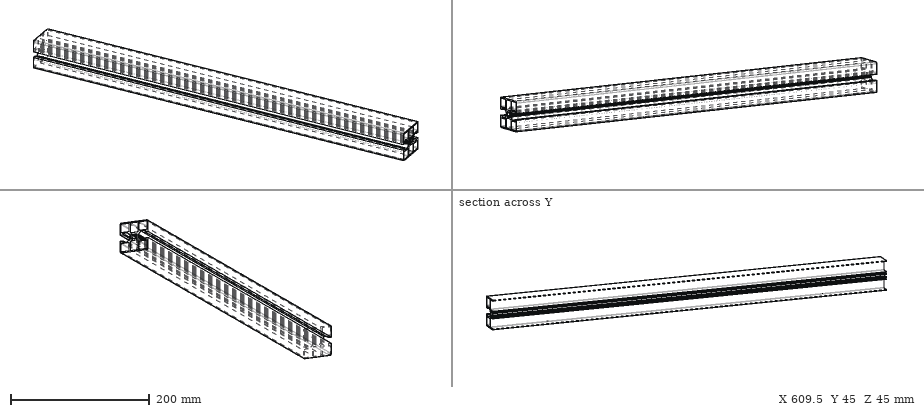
import cadquery as cq

length = 609.5
side = 45.0
corner_radius = 2.5

slot_opening = 9.0
slot_width = 13.5
lip_depth = 5.0
slot_floor = 7.0
slot_chamfer = 4.0
groove_width = 2.0
groove_depth = 0.5

wall = 2.0
web_thickness = 2.15
shelf_thickness = 1.5
chamber_radius = 0.5
middle_half_width = 6.0
core_height = 6.0

bore_diameter = 7.0
lobe_length = 10.0
lobe_width = 1.0
lobe_angles = (45, -45)

half = side / 2
hollow_end = half - wall
web_far_face = middle_half_width + web_thickness
shelf_height = slot_width / 2 + shelf_thickness


def prism(outline):
    """Extrude a closed YZ sketch along the full bar, centred on X = 0."""
    return outline.extrude(length / 2, both=True)


def chamber(y_low, y_high, z_low, z_high):
    """Round-cornered hollow running the full length of the bar."""
    center = ((y_low + y_high) / 2, (z_low + z_high) / 2)
    outline = cq.Workplane("YZ").center(*center).rect(y_high - y_low, z_high - z_low)
    return prism(outline).edges("|X").fillet(chamber_radius)


def side_slot():
    """T-slot opening on the +Y face, with a chamfered and grooved floor."""
    lip_inner = half - lip_depth
    upper = [
        (half, slot_opening / 2),
        (lip_inner, slot_opening / 2),
        (lip_inner, slot_width / 2),
        (slot_floor + slot_chamfer, slot_width / 2),
        (slot_floor, slot_width / 2 - slot_chamfer),
        (slot_floor, groove_width / 2),
    ]
    groove_bottom = (slot_floor - groove_depth, 0)
    lower = [(y, -z) for y, z in reversed(upper)]
    return prism(cq.Workplane("YZ").polyline(upper + [groove_bottom] + lower).close())


def screw_bore():
    """Round bore with four narrow lobes on the diagonals."""
    bore = prism(cq.Workplane("YZ").circle(bore_diameter / 2))
    for angle in lobe_angles:
        lobe = prism(cq.Workplane("YZ").rect(lobe_length, lobe_width))
        bore = bore.union(lobe.rotate((0, 0, 0), (1, 0, 0), angle))
    return bore


bar = prism(cq.Workplane("YZ").rect(side, side)).edges("|X").fillet(corner_radius)

upper_chambers = [
    chamber(-hollow_end, -web_far_face, shelf_height, hollow_end),
    chamber(-middle_half_width, middle_half_width, core_height, hollow_end),
    chamber(web_far_face, hollow_end, shelf_height, hollow_end),
]
for upper_chamber in upper_chambers:
    bar = bar.cut(upper_chamber)
    bar = bar.cut(upper_chamber.mirror("XY"))

slot = side_slot()
bar = bar.cut(slot)
bar = bar.cut(slot.mirror("XZ"))

result = bar.cut(screw_bore())